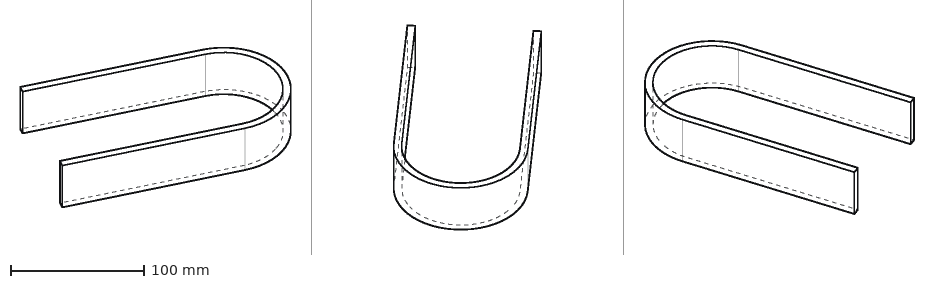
import cadquery as cq

total_length = 195.0
outer_width = 101.0
height = 40.0
thickness = 6.0

outer_radius = outer_width / 2
inner_radius = outer_radius - thickness
leg_length = total_length - outer_radius

result = (
    cq.Workplane("XY")
    .moveTo(-outer_radius, -leg_length)
    .lineTo(-outer_radius, 0)
    .threePointArc((0, outer_radius), (outer_radius, 0))
    .lineTo(outer_radius, -leg_length)
    .lineTo(inner_radius, -leg_length)
    .lineTo(inner_radius, 0)
    .threePointArc((0, inner_radius), (-inner_radius, 0))
    .lineTo(-inner_radius, -leg_length)
    .close()
    .extrude(height)
)